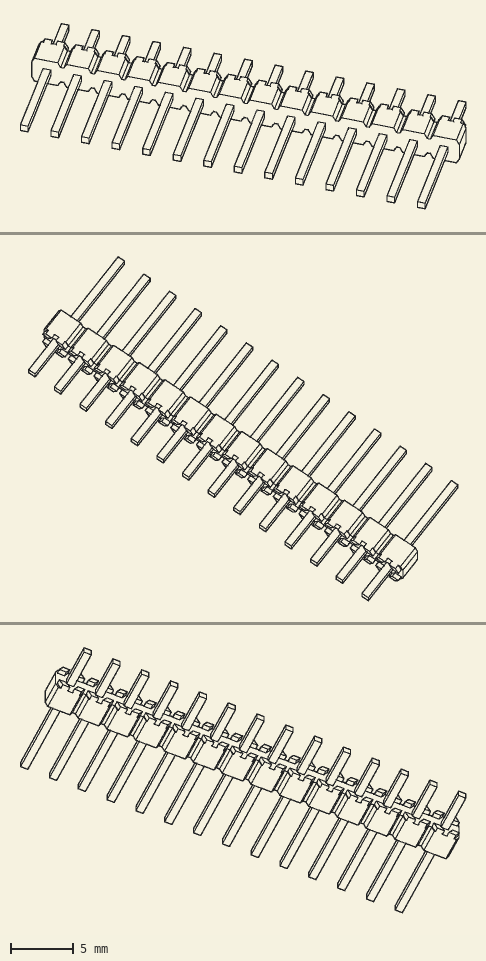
import cadquery as cq

row_length = 35.55
pin_count = 14
pitch = row_length / pin_count
half_height = pitch / 2

housing_depth = 2.03
notch_depth = 0.45
notch_floor_width = 0.265
bevel_width = 0.23
notch_top_width = notch_floor_width + 2 * bevel_width

pin_size = 0.65
pin_front_length = 6.75
pin_total_length = 12.15

foot_length = 0.4
foot_height = 0.55
foot_side_gap = 0.15
foot_lean = 0.31
foot_center_gap = 0.4

pin_positions = [(i - (pin_count - 1) / 2) * pitch for i in range(pin_count)]
notch_positions = [x + pitch / 2 for x in pin_positions[:-1]]


def prism(points, y_start, length):
    """Extrude an XZ outline from y_start toward +Y."""
    return cq.Workplane("XZ", origin=(0, y_start, 0)).polyline(points).close().extrude(-length)


def housing_edge(side):
    """Notched outline along the top (side = 1) or bottom (side = -1), from left to right."""
    end_x = row_length / 2
    edge_z = side * half_height
    floor_z = side * (half_height - notch_depth)
    points = [(-end_x, floor_z), (-end_x + bevel_width, edge_z)]
    for x in notch_positions:
        points += [
            (x - notch_top_width / 2, edge_z),
            (x - notch_floor_width / 2, floor_z),
            (x + notch_floor_width / 2, floor_z),
            (x + notch_top_width / 2, edge_z),
        ]
    return points + [(end_x - bevel_width, edge_z), (end_x, floor_z)]


def make_housing():
    outline = housing_edge(1) + housing_edge(-1)[::-1]
    return prism(outline, 0, housing_depth)


def make_foot(pin_x, x_side, z_side):
    """One foot: a parallelogram leaning toward the pin as it nears the outer edge."""
    inner = foot_center_gap / 2
    outer = pitch / 2 - foot_side_gap
    base_z = half_height - foot_height
    outline = [
        (inner + foot_lean, base_z),
        (outer, base_z),
        (outer - foot_lean, half_height),
        (inner, half_height),
    ]
    points = [(pin_x + x_side * x, z_side * z) for x, z in outline]
    return prism(points, housing_depth, foot_length)


def make_pin(pin_x):
    half = pin_size / 2
    outline = [(pin_x + x, z) for x, z in [(-half, -half), (half, -half), (half, half), (-half, half)]]
    return prism(outline, -pin_front_length, pin_total_length)


result = make_housing()
for pin_x in pin_positions:
    result = result.union(make_pin(pin_x))
    for x_side in (-1, 1):
        for z_side in (-1, 1):
            result = result.union(make_foot(pin_x, x_side, z_side))